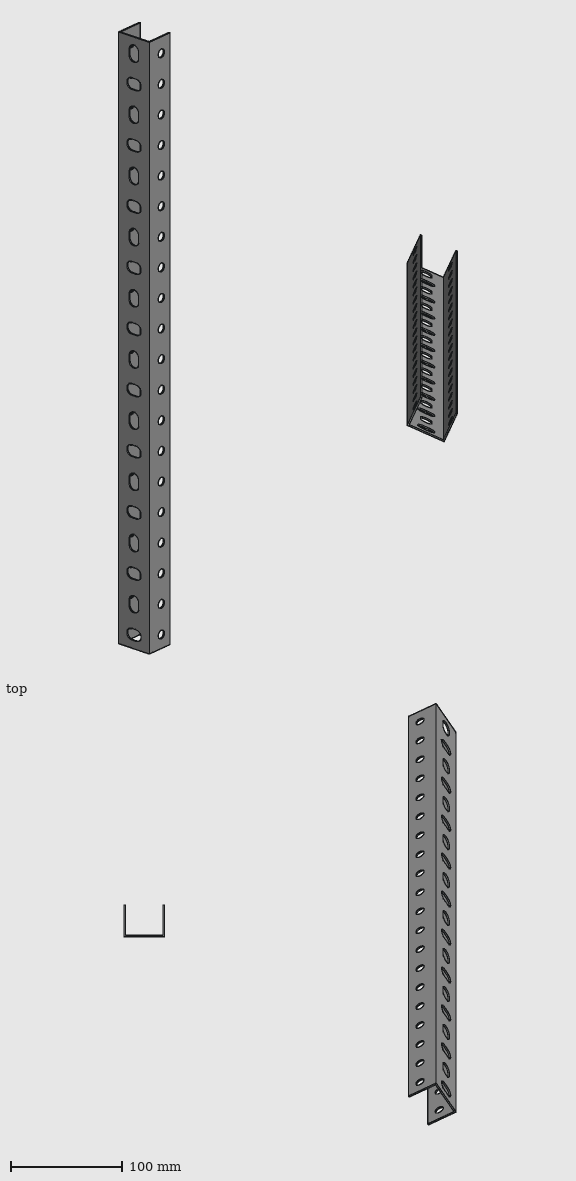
import cadquery as cq

length = 600.0
width = 36.5
depth = 29.0
thickness = 1.5

pitch = 30.0
first_hole_z = 14.0
slot_length = 17.0
slot_width = 11.5
flange_hole_diameter = 8.5
flange_hole_setback = 12.0

web_y = -depth / 2
flange_hole_y = depth / 2 - flange_hole_setback
row_count = round(length / pitch)
row_heights = [first_hole_z + row * pitch for row in range(row_count)]
crosswise_rows = row_heights[0::2]
lengthwise_rows = row_heights[1::2]


def make_channel():
    """Sharp-cornered U profile of constant sheet thickness."""
    block = cq.Workplane("XY").rect(width, depth).extrude(length)
    interior = (
        cq.Workplane("XY")
        .center(0, thickness)
        .rect(width - 2 * thickness, depth)
        .extrude(length)
    )
    return block.cut(interior)


def make_web_slots(heights, angle):
    """Cutters for web slots turned by the given angle from the X axis."""
    return (
        cq.Workplane("XZ", origin=(0, web_y, 0))
        .pushPoints([(0, height) for height in heights])
        .slot2D(slot_length, slot_width, angle)
        .extrude(thickness, both=True)
    )


def make_flange_holes():
    """Cutters for round holes running straight through both flanges."""
    return (
        cq.Workplane("YZ")
        .pushPoints([(flange_hole_y, height) for height in row_heights])
        .circle(flange_hole_diameter / 2)
        .extrude(width, both=True)
    )


result = (
    make_channel()
    .cut(make_web_slots(crosswise_rows, 0))
    .cut(make_web_slots(lengthwise_rows, 90))
    .cut(make_flange_holes())
)